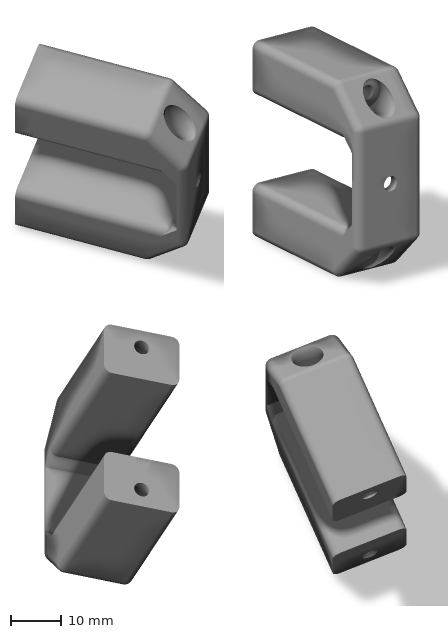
import cadquery as cq

length = 36.0
width = 16.0
height = 42.0

leg_height = 11.55
wall_thickness = 2.0
outer_chamfer = 8.0
inner_chamfer = 1.85
edge_radius = 1.7

hole_diameter = 3.2
counterbore_diameter = 6.4
leg_hole_z = height / 2 - outer_chamfer / 2
counterbore_floor_x = length - outer_chamfer

wall_x = length - wall_thickness
gap_half_height = height / 2 - leg_height


def make_block():
    """Solid block with chamfered rear corners and every edge except the front ones rounded."""
    block = cq.Workplane("XY").box(length, width, height, centered=(False, True, True))
    block = block.edges(">X and |Y").chamfer(outer_chamfer)
    return block.edges("not <X").fillet(edge_radius)


def make_gap():
    """Space between the legs, widened at its edges to leave rounded inner leg edges."""
    gap = cq.Workplane("XY").box(
        wall_x, width, 2 * gap_half_height, centered=(False, True, True)
    )
    for side in (-1, 1):
        for level in (-1, 1):
            edge_y = side * width / 2
            edge_z = level * gap_half_height
            inset_y = edge_y - side * edge_radius
            inset_z = edge_z + level * edge_radius
            strip = cq.Workplane("YZ").rect(edge_radius, edge_radius).extrude(wall_x)
            strip = strip.translate((0, (edge_y + inset_y) / 2, (edge_z + inset_z) / 2))
            round_bar = cq.Workplane("YZ").center(inset_y, inset_z).circle(edge_radius).extrude(wall_x)
            gap = gap.union(strip.cut(round_bar))
    return gap


def make_gap_limit():
    """Prism that ends the gap at the rear wall and its two 45 degree inner corners."""
    reach = gap_half_height + edge_radius
    straight = gap_half_height - inner_chamfer
    slope_start_x = wall_x - (reach - straight)
    return (
        cq.Workplane("XZ")
        .moveTo(0, -reach)
        .lineTo(slope_start_x, -reach)
        .lineTo(wall_x, -straight)
        .lineTo(wall_x, straight)
        .lineTo(slope_start_x, reach)
        .lineTo(0, reach)
        .close()
        .extrude(width / 2, both=True)
    )


def make_bore(diameter, start_x, z):
    """Cylinder along X from start_x to the rear face."""
    return (
        cq.Workplane("YZ", origin=(start_x, 0, z))
        .circle(diameter / 2)
        .extrude(length - start_x)
    )


result = make_block().cut(make_gap().intersect(make_gap_limit()))

for hole_z in (-leg_hole_z, 0, leg_hole_z):
    result = result.cut(make_bore(hole_diameter, 0, hole_z))

for hole_z in (-leg_hole_z, leg_hole_z):
    result = result.cut(make_bore(counterbore_diameter, counterbore_floor_x, hole_z))